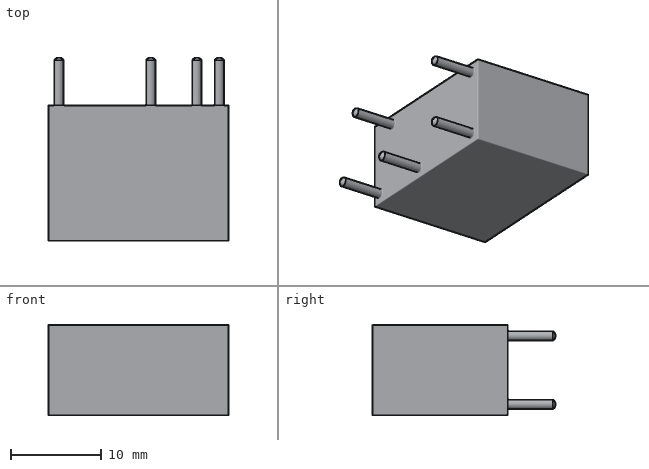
import cadquery as cq

housing_length = 20.0
housing_width = 10.0
overall_depth = 20.3
pin_projection = 5.3
housing_depth = overall_depth - pin_projection
housing_edge_radius = 0.1

pin_radius = 0.53
dome_height = 0.32
foot_radius = 0.1
row_offset = 3.8

end_pin_x = -8.81
upper_row_x = [end_pin_x, 6.48]
lower_row_x = [end_pin_x, 1.35, 8.95]


def make_housing():
    """Box whose +Y face lies at Y = 0, centred in X and Z."""
    box = cq.Workplane("XY").box(housing_length, housing_depth, housing_width)
    return box.translate((0, -housing_depth / 2, 0)).edges().fillet(housing_edge_radius)


def make_pin(x, z):
    """Pin turned about a line along Y, flared at its foot and domed at its tip."""
    shoulder_y = pin_projection - dome_height
    dome_radius = (pin_radius**2 + dome_height**2) / (2 * dome_height)
    foot_edge = pin_radius + foot_radius
    profile = (
        cq.Workplane("YZ")
        .moveTo(-housing_edge_radius, 0)
        .lineTo(-housing_edge_radius, foot_edge)
        .lineTo(0, foot_edge)
        .radiusArc((foot_radius, pin_radius), -foot_radius)
        .lineTo(shoulder_y, pin_radius)
        .radiusArc((pin_projection, 0), dome_radius)
        .close()
    )
    return profile.revolve(360, (0, 0), (1, 0)).translate((x, 0, z))


result = make_housing()
for row_x, row_z in ((upper_row_x, row_offset), (lower_row_x, -row_offset)):
    for pin_x in row_x:
        result = result.union(make_pin(pin_x, row_z))